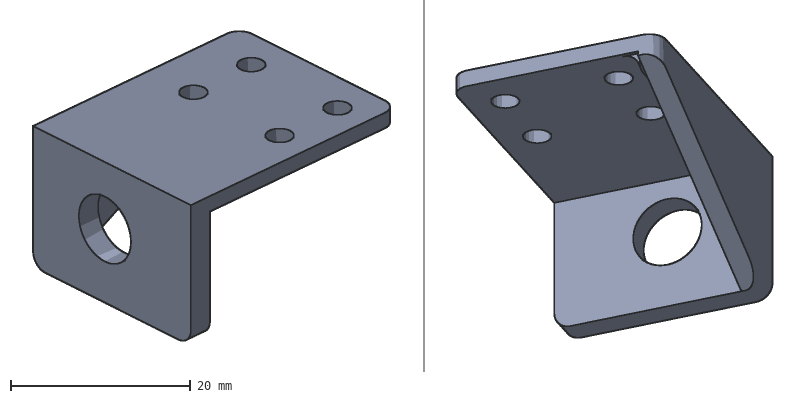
import cadquery as cq

width = 25.25
depth = 32.2
height = 18.0

plate_thickness = 2.0
gusset_thickness = 2.5
gusset_rear_height = 2.5
front_thickness = 3.0
corner_radius = 2.0

bead_radius = 2.0
bead_end_gap = 0.48
bead_end_radius = 0.95

bore_diameter = 8.3
bore_x = -1.13
bore_drop = 8.55
screw_diameter = 3.2
screw_spacing_x = 13.78
screw_spacing_y = 9.0
screw_back_distance = 5.0

left = -width / 2
gusset_inner = left + gusset_thickness


def top_plate():
    """Flat plate with its two rear corners rounded."""
    plate = cq.Workplane("XY").box(width, depth, plate_thickness, centered=(True, False, False))
    plate = plate.translate((0, 0, -plate_thickness))
    return plate.edges("|Z and >Y").fillet(corner_radius)


def front_wall_and_gusset():
    """Front wall and the tapered left gusset, rounded along the lower long edges."""
    wall = cq.Workplane("XY").box(width, front_thickness, height, centered=(True, False, False))
    wall = wall.translate((0, 0, -height))
    gusset = (
        cq.Workplane("YZ", origin=(left, 0, 0))
        .moveTo(0, 0)
        .lineTo(depth, 0)
        .lineTo(depth, -gusset_rear_height)
        .lineTo(front_thickness, -height)
        .lineTo(0, -height)
        .close()
        .extrude(gusset_thickness)
    )
    envelope = cq.Workplane("XY").box(width, depth, height, centered=(True, False, False))
    envelope = envelope.translate((0, 0, -height))
    envelope = envelope.edges("|Y and <Z").fillet(corner_radius)
    envelope = envelope.edges("|Z and >Y").fillet(corner_radius)
    return wall.union(gusset).intersect(envelope)


def fillet_bead():
    """Concave fillet joining plate and gusset, with a rounded rear end."""
    length = depth - bead_end_gap
    underside = -plate_thickness
    bead = (
        cq.Workplane("XY")
        .box(bead_radius, length, bead_radius, centered=False)
        .translate((gusset_inner, 0, underside - bead_radius))
        .edges("|X and >Y and <Z")
        .fillet(bead_end_radius)
    )
    hollow = (
        cq.Workplane("XZ", origin=(gusset_inner + bead_radius, 0, underside - bead_radius))
        .circle(bead_radius)
        .extrude(-depth)
    )
    return bead.cut(hollow)


def front_bore():
    """Cutter for the large hole through the front wall."""
    return (
        cq.Workplane("XZ", origin=(bore_x, 0, -bore_drop))
        .circle(bore_diameter / 2)
        .extrude(-front_thickness)
    )


def screw_holes():
    """Cutter for the four holes, centred on the plate beside the gusset."""
    center_x = gusset_thickness / 2
    center_y = depth - screw_back_distance - screw_spacing_y / 2
    return (
        cq.Workplane("XY", origin=(center_x, center_y, 0))
        .rarray(screw_spacing_x, screw_spacing_y, 2, 2)
        .circle(screw_diameter / 2)
        .extrude(-plate_thickness)
    )


bracket = top_plate().union(front_wall_and_gusset()).union(fillet_bead())
result = bracket.cut(front_bore()).cut(screw_holes())